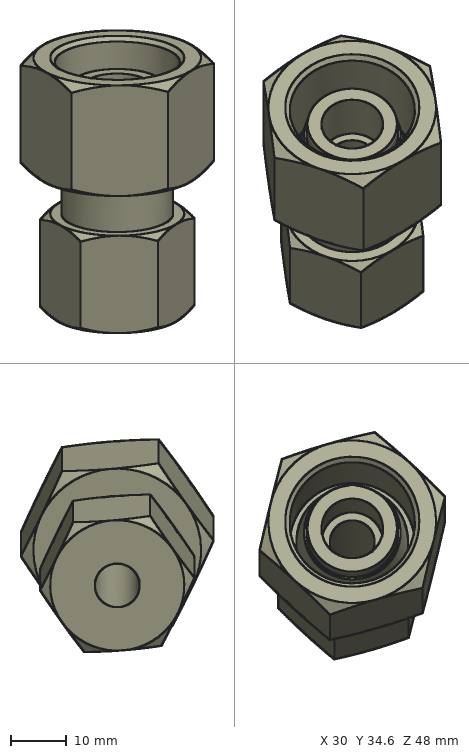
import cadquery as cq
import math

total_height = 48.0
lower_hex_height = 18.5
upper_hex_height = 21.0
upper_hex_bottom = total_height - upper_hex_height

upper_hex_flats = 30.0
lower_hex_flats = 24.0
neck_diameter = 20.0
corner_chamfer_angle = 30.0
hex_half_sector = 30.0

recess_diameter = 22.35
recess_mouth_diameter = 24.0
recess_mouth_chamfer = (recess_mouth_diameter - recess_diameter) / 2
recess_depth = 16.0
recess_floor = total_height - recess_depth

nose_recession = 4.9
nose_top = total_height - nose_recession
nose_tip_diameter = 16.0
nose_waist_diameter = 16.4
nose_shoulder_diameter = 17.3
nose_half_angle = 12.0

bore_diameter = 8.0
counterbore_diameter = 11.0
counterbore_depth = 10.0


def revolve_profile(points):
    """Revolve a closed outline of (radius, height) points about Z."""
    return cq.Workplane("XZ").polyline(points).close().revolve(360, (0, 0), (0, 1))


def chamfered_hex(flats, bottom, height):
    """Hexagon with corners on Y, its corners cut conically at both ends."""
    flat_radius = flats / 2
    corner_radius = flat_radius / math.cos(math.radians(hex_half_sector))
    drop = (corner_radius - flat_radius) * math.tan(math.radians(corner_chamfer_angle))
    top = bottom + height
    prism = (
        cq.Workplane("XY", origin=(0, 0, bottom))
        .polygon(6, 2 * corner_radius)
        .extrude(height)
        .rotate((0, 0, 0), (0, 0, 1), 90)
    )
    envelope = revolve_profile([
        (0, bottom),
        (flat_radius, bottom),
        (corner_radius, bottom + drop),
        (corner_radius, top - drop),
        (flat_radius, top),
        (0, top),
    ])
    return prism.intersect(envelope)


def recess():
    """Round recess with a 45 degree chamfer at its mouth."""
    return revolve_profile([
        (0, recess_floor),
        (recess_diameter / 2, recess_floor),
        (recess_diameter / 2, total_height - recess_mouth_chamfer),
        (recess_mouth_diameter / 2, total_height),
        (0, total_height),
    ])


def nose_cone_height(diameter):
    """Height at which the nose cone reaches the given diameter."""
    widening = (diameter - nose_tip_diameter) / 2
    return nose_top - widening / math.tan(math.radians(nose_half_angle))


def nose():
    """Cone widening to the neck size, relieved to a cylindrical waist above a flat shoulder."""
    shoulder_height = nose_cone_height(nose_shoulder_diameter)
    return revolve_profile([
        (0, recess_floor),
        (neck_diameter / 2, recess_floor),
        (neck_diameter / 2, nose_cone_height(neck_diameter)),
        (nose_shoulder_diameter / 2, shoulder_height),
        (nose_waist_diameter / 2, shoulder_height),
        (nose_waist_diameter / 2, nose_cone_height(nose_waist_diameter)),
        (nose_tip_diameter / 2, nose_top),
        (0, nose_top),
    ])


def passage():
    """Through bore with a counterbore entering from the nose tip."""
    bore = cq.Workplane("XY").circle(bore_diameter / 2).extrude(total_height)
    counterbore = (
        cq.Workplane("XY", origin=(0, 0, nose_top - counterbore_depth))
        .circle(counterbore_diameter / 2)
        .extrude(counterbore_depth)
    )
    return bore.union(counterbore)


lower_hex = chamfered_hex(lower_hex_flats, 0, lower_hex_height)
upper_hex = chamfered_hex(upper_hex_flats, upper_hex_bottom, upper_hex_height)
neck = cq.Workplane("XY").circle(neck_diameter / 2).extrude(recess_floor)

result = lower_hex.union(neck).union(upper_hex).cut(recess()).union(nose()).cut(passage())